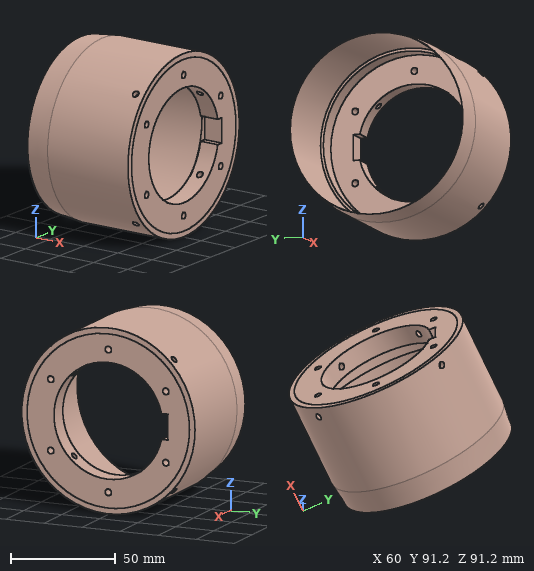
import cadquery as cq
import math

outer_radius = 45.6
length = 60.0

taper_length = 12.8
mouth_radius = 44.2

step_depth = 40.15
seat_radius = 42.7

ring_thickness = 10.0
ring_front = length - ring_thickness
ring_bore_radius = 28.6

keyway_reach = 31.2
keyway_width = 12.6

axial_hole_diameter = 3.2
axial_hole_circle_radius = 34.95
axial_hole_count = 6

radial_hole_diameter = 3.2
radial_hole_position = length - ring_thickness / 2
radial_hole_count = 4
radial_hole_start_angle = 45.0


def make_radial_holes():
    """Cutters running outward from inside the ring bore to beyond the sleeve."""
    start_radius = ring_bore_radius / 2
    cutter_length = outer_radius
    cutters = []
    for index in range(radial_hole_count):
        angle = math.radians(radial_hole_start_angle + index * 360 / radial_hole_count)
        direction = cq.Vector(0, math.cos(angle), math.sin(angle))
        start = cq.Vector(radial_hole_position, 0, 0) + direction * start_radius
        cutters.append(cq.Solid.makeCylinder(radial_hole_diameter / 2, cutter_length, start, direction))
    return cq.Workplane(cq.Compound.makeCompound(cutters))


def make_sleeve():
    """Revolved tube with a tapered mouth and a stepped bore."""
    profile = (
        cq.Workplane("XY")
        .moveTo(0, mouth_radius)
        .lineTo(taper_length, outer_radius)
        .lineTo(length, outer_radius)
        .lineTo(length, seat_radius)
        .lineTo(step_depth, seat_radius)
        .lineTo(step_depth, mouth_radius)
        .close()
    )
    tube = profile.revolve(360, (0, 0, 0), (1, 0, 0))
    return tube.cut(make_radial_holes())


def make_ring():
    """Annular plate with a keyway, axial screw holes and radial screw holes."""
    front_face = cq.Workplane("YZ", origin=(ring_front, 0, 0))
    plate = front_face.circle(seat_radius).circle(ring_bore_radius).extrude(ring_thickness)
    keyway = (
        front_face
        .center(keyway_reach / 2, 0)
        .rect(keyway_reach, keyway_width)
        .extrude(ring_thickness)
    )
    axial_holes = (
        front_face
        .polarArray(axial_hole_circle_radius, 90, 360, axial_hole_count)
        .circle(axial_hole_diameter / 2)
        .extrude(ring_thickness)
    )
    return plate.cut(keyway).cut(axial_holes).cut(make_radial_holes())


sleeve = make_sleeve()
ring = make_ring()
result = cq.Compound.makeCompound([sleeve.solids().val(), ring.solids().val()])